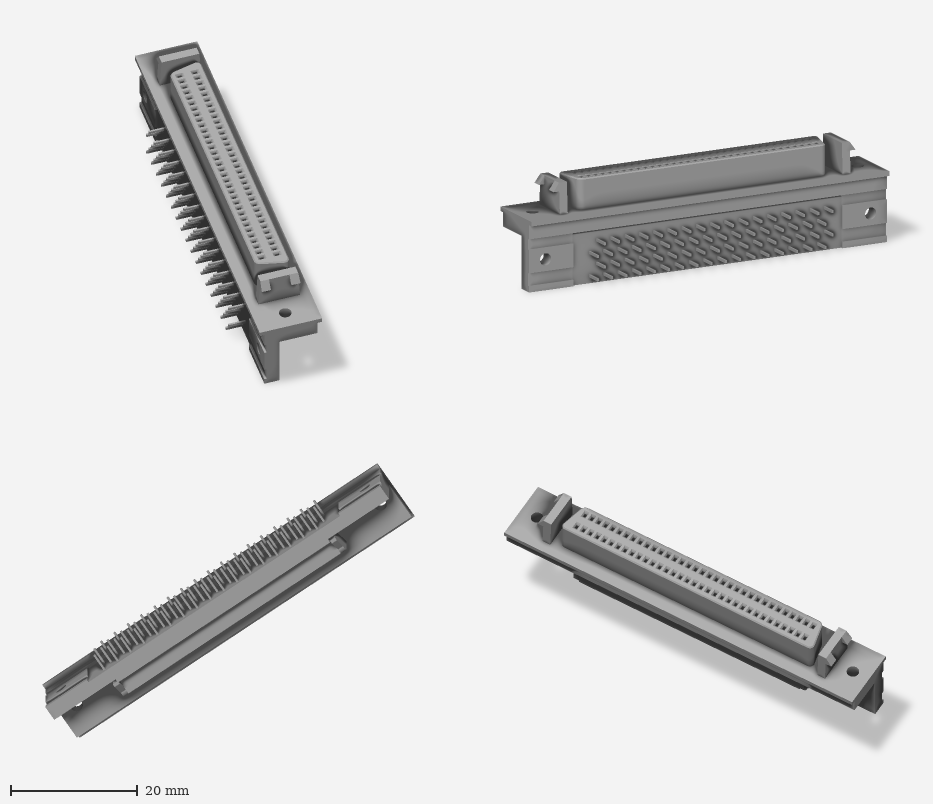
import cadquery as cq
import math


length = 63.9
total_height = 16.85

flange_depth = 10.35
flange_top = 11.75
flange_bottom = 11.0
body_depth = 8.8
body_bottom = 8.7

hole_diameter = 2.0
hole_x = 29.0
ear_hole_z = 5.05

ear_front = -body_depth / 2
ear_back = -1.9
ear_inner_x = 24.0
ear_recess_depth = 0.4
ear_recesses = [(1.0, 3.1), (6.95, body_bottom)]

plate_front = -3.95
plate_back = -1.3
plate_top = 8.3
plate_step_z = 5.6

housing_half_length = 21.2
housing_back = 1.9
housing_bottom = 0.95
housing_slope_z = 2.7
housing_corner_radius = 0.95
gusset_slope_end_y = -1.0
gusset_thickness = 0.95
core_half_length = housing_half_length - gusset_thickness
housing_core_inset = 0.2
tail_row_ys = [1.0, -0.5]
tail_row_thickness = 0.4
tail_row_reach = 0.3

plug_back = 2.75
plug_front = -2.7
plug_half_length_back = 23.25
plug_side_angle = 13.0
plug_back_radius = 0.75
plug_front_radius = 1.1
plug_chamfer = 0.2

contact_columns = 34
contact_row_span = 41.9
contact_pitch = contact_row_span / (contact_columns - 1)
opening_row_y = 1.3
opening_width = 0.8
opening_length = 1.35
contact_hole_width = 0.45
contact_hole_length = 0.65
lead_in_depth = 0.3
opening_depth = 1.9

pin_rows = 4
pin_row_pitch = 1.5 * contact_pitch
pin_top_row_z = 6.95
pin_width = 0.3
pin_height = 0.45
pin_tip = -6.85

latch_inner_x = 24.5
latch_outer_x = 25.95
latch_base_half = 3.45
latch_top_half = 3.1
hook_reach = 1.0
hook_height = 1.4
hook_gap = 3.4


def block(x0, x1, y0, y1, z0, z1):
    """Box between two opposite corners."""
    return cq.Workplane("XY").box(x1 - x0, y1 - y0, z1 - z0, centered=False).translate((x0, y0, z0))


def both_ends(shape):
    """A shape together with its mirror image at the other end of the connector."""
    return shape.union(shape.mirror("YZ"))


def make_base():
    """Flange and body as a stepped bar along the full length."""
    half = length / 2
    flange = block(-half, half, -flange_depth / 2, flange_depth / 2, flange_bottom, flange_top)
    body = block(-half, half, -body_depth / 2, body_depth / 2, body_bottom, flange_bottom)
    return flange.union(body)


def make_ear():
    """Mounting ear at the -X end with two shallow recesses across its front."""
    ear = block(-length / 2, -ear_inner_x, ear_front, ear_back, 0, body_bottom)
    for z0, z1 in ear_recesses:
        ear = ear.cut(block(-length / 2, -ear_inner_x, ear_front, ear_front + ear_recess_depth, z0, z1))
    return ear


def make_pin_plate():
    """Plate that carries the pins, thickened behind its lower part between the gussets."""
    plate = block(-ear_inner_x, ear_inner_x, plate_front, ear_back, 0, plate_top)
    thickening = block(-core_half_length, core_half_length, ear_back, plate_back, 0, plate_step_z)
    return plate.union(thickening)


def make_gusset():
    """End wall of the housing at the -X end; its top slopes down to the pin plate."""
    corner_y = housing_back - housing_corner_radius
    corner_z = housing_slope_z + housing_corner_radius
    diagonal = housing_corner_radius * math.sqrt(0.5)
    slope_end_y = corner_y - (housing_slope_z - housing_bottom)
    return (
        cq.Workplane("YZ", origin=(-housing_half_length, 0, 0))
        .moveTo(housing_back, body_bottom)
        .lineTo(housing_back, corner_z)
        .threePointArc((corner_y + diagonal, corner_z - diagonal), (corner_y, housing_slope_z))
        .lineTo(slope_end_y, housing_bottom)
        .lineTo(plate_back, housing_bottom)
        .lineTo(plate_back, plate_step_z)
        .lineTo(gusset_slope_end_y, plate_step_z)
        .close()
        .extrude(gusset_thickness)
    )


def make_housing():
    """Housing core between two gussets, with two rows of contact tails showing at each end."""
    core_back = housing_back - housing_core_inset
    housing = both_ends(make_gusset()).union(
        block(-core_half_length, core_half_length, ear_back, core_back, housing_slope_z, body_bottom)
    )
    row_end = core_half_length + tail_row_reach
    for y in tail_row_ys:
        row_front = y - tail_row_thickness / 2
        row_back = y + tail_row_thickness / 2
        housing = housing.union(
            block(-row_end, row_end, row_front, row_back, plate_step_z, body_bottom)
        )
    return housing


def make_plug():
    """D-shaped plug with slanted ends, rounded corners and a bevelled rim."""
    taper = (plug_back - plug_front) * math.tan(math.radians(plug_side_angle))
    half_front = plug_half_length_back - taper
    plug = (
        cq.Workplane("XY", origin=(0, 0, flange_top))
        .polyline([
            (-plug_half_length_back, plug_back),
            (plug_half_length_back, plug_back),
            (half_front, plug_front),
            (-half_front, plug_front),
        ])
        .close()
        .extrude(total_height - flange_top)
    )
    plug = plug.edges("|Z and >Y").fillet(plug_back_radius)
    plug = plug.edges("|Z and <Y").fillet(plug_front_radius)
    return plug.faces(">Z").edges().chamfer(plug_chamfer)


def contact_xs():
    """X of every contact position, evenly spaced about the middle."""
    middle = (contact_columns - 1) / 2
    return [(i - middle) * contact_pitch for i in range(contact_columns)]


def make_openings():
    """Two rows of contact openings, each with a tapered lead-in above a straight hole."""
    row_ys = [-opening_row_y, opening_row_y]
    centres = [(x, y) for y in row_ys for x in contact_xs()]
    opening = (
        cq.Workplane("XY")
        .rect(opening_width, opening_length)
        .workplane(offset=-lead_in_depth)
        .rect(contact_hole_width, contact_hole_length)
        .loft(ruled=True)
        .faces("<Z")
        .workplane()
        .rect(contact_hole_width, contact_hole_length)
        .extrude(opening_depth - lead_in_depth)
    )
    face = cq.Workplane("XY", origin=(0, 0, total_height)).pushPoints(centres)
    return face.eachpoint(lambda place: opening.val().moved(place), combine=False).combine(glue=True)


def make_pins():
    """Staggered rows of pins; each row takes every second contact position."""
    xs = contact_xs()
    centres = []
    for row in range(pin_rows):
        z = pin_top_row_z - row * pin_row_pitch
        centres += [(x, z) for x in xs[(row + 1) % 2::2]]
    return (
        cq.Workplane("XZ", origin=(0, ear_back, 0))
        .pushPoints(centres)
        .rect(pin_width, pin_height)
        .extrude(ear_back - pin_tip)
    )


def make_latch():
    """Tapered latch blade at the -X end with two hooks pointing outwards."""
    hook_tip_x = latch_outer_x + hook_reach
    hook_bottom = total_height - hook_height
    profile = (
        cq.Workplane("XZ", origin=(0, latch_base_half, 0))
        .polyline([
            (-latch_inner_x, flange_top),
            (-latch_inner_x, total_height),
            (-latch_outer_x, total_height),
            (-hook_tip_x, hook_bottom),
            (-latch_outer_x, hook_bottom),
            (-latch_outer_x, flange_top),
        ])
        .close()
        .extrude(2 * latch_base_half)
    )
    taper = (
        cq.Workplane("YZ", origin=(-hook_tip_x, 0, 0))
        .polyline([
            (-latch_base_half, flange_top),
            (latch_base_half, flange_top),
            (latch_top_half, total_height),
            (-latch_top_half, total_height),
        ])
        .close()
        .extrude(hook_tip_x - latch_inner_x)
    )
    gap = block(-hook_tip_x, -latch_outer_x, -hook_gap / 2, hook_gap / 2, hook_bottom, total_height)
    return profile.intersect(taper).cut(gap)


def make_mounting_holes():
    """Round holes along Z through the flange and body, and along Y through the ears."""
    centres = [(-hole_x, 0), (hole_x, 0)]
    flange_holes = (
        cq.Workplane("XY", origin=(0, 0, body_bottom))
        .pushPoints(centres).circle(hole_diameter / 2).extrude(flange_top - body_bottom)
    )
    ear_holes = (
        cq.Workplane("XZ", origin=(0, ear_back, ear_hole_z))
        .pushPoints(centres).circle(hole_diameter / 2).extrude(ear_back - ear_front)
    )
    return flange_holes.union(ear_holes)


result = (
    make_base()
    .union(both_ends(make_ear()))
    .union(make_pin_plate())
    .union(make_housing())
    .union(make_plug().cut(make_openings()))
    .union(make_pins())
    .union(both_ends(make_latch()))
    .cut(make_mounting_holes())
)